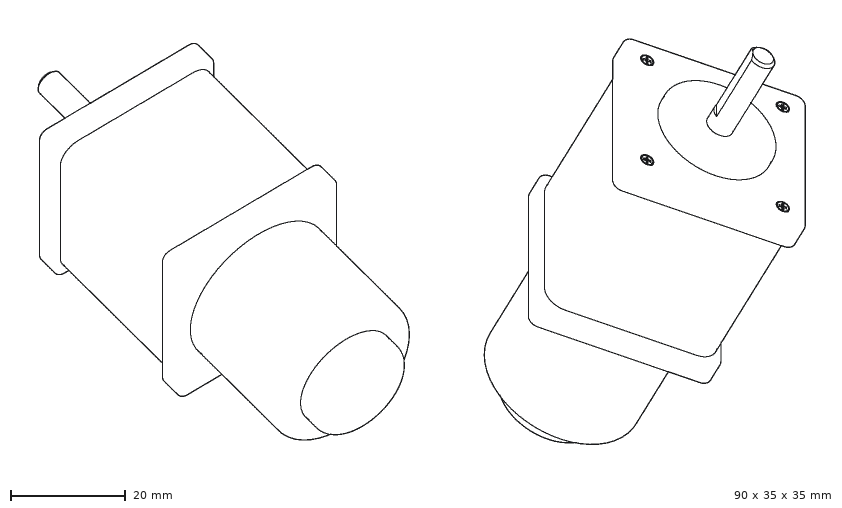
import cadquery as cq

TOTAL_LENGTH = 90.0
SHAFT_LENGTH = 18.0
PILOT_LENGTH = 2.0
FLANGE_THICKNESS = 5.0
BODY_LENGTH = 30.0
CAP_LENGTH = 5.0

FRONT_FLANGE_START = SHAFT_LENGTH + PILOT_LENGTH
BODY_START = FRONT_FLANGE_START + FLANGE_THICKNESS
REAR_FLANGE_START = BODY_START + BODY_LENGTH
MOTOR_START = REAR_FLANGE_START + FLANGE_THICKNESS
MOTOR_END = TOTAL_LENGTH - CAP_LENGTH

FLANGE_SIDE = 35.0
FLANGE_CORNER_RADIUS = 2.0
FLANGE_EDGE_RADIUS = 0.5
BODY_SIDE = 33.0
BODY_CORNER_RADIUS = 4.0

PILOT_DIAMETER = 22.0
PILOT_EDGE_RADIUS = 0.5
MOTOR_DIAMETER = 30.0
MOTOR_END_RADIUS = 2.0
CAP_DIAMETER = 20.0
CAP_END_RADIUS = 2.0

SHAFT_DIAMETER = 5.0
SHAFT_CHAMFER = 0.5
FLAT_LENGTH = 15.0
FLAT_DEPTH = 0.5

SCREW_SPACING = 26.0
SCREW_HOLE_DIAMETER = 2.5
SCREW_HEAD_DIAMETER = 2.2
SCREW_GAP_DEPTH = 0.5
SLOT_LENGTH = 1.4
SLOT_WIDTH = 0.4
SLOT_DEPTH = 0.5


def section_plane(x):
    """Workplane across the motor axis at station x, extruding toward +X."""
    return cq.Workplane("YZ", origin=(x, 0, 0))


def cylinder(start, end, diameter):
    return section_plane(start).circle(diameter / 2).extrude(end - start)


def square_block(start, end, side, corner_radius):
    block = section_plane(start).rect(side, side).extrude(end - start)
    return block.edges("|X").fillet(corner_radius)


def make_flange(start):
    flange = square_block(start, start + FLANGE_THICKNESS, FLANGE_SIDE, FLANGE_CORNER_RADIUS)
    return flange.faces("<X or >X").edges().fillet(FLANGE_EDGE_RADIUS)


def make_shaft():
    shaft = cylinder(0, SHAFT_LENGTH, SHAFT_DIAMETER).faces("<X").chamfer(SHAFT_CHAMFER)
    flat_y = SHAFT_DIAMETER / 2 - FLAT_DEPTH
    flat_cut = cq.Workplane().box(
        FLAT_LENGTH, SHAFT_DIAMETER, SHAFT_DIAMETER, centered=(False, False, True)
    )
    return shaft.cut(flat_cut.translate((0, flat_y, 0)))


def make_screw_recesses():
    screw_square = section_plane(FRONT_FLANGE_START).rect(
        SCREW_SPACING, SCREW_SPACING, forConstruction=True
    )
    screw_points = screw_square.vertices()
    hole_outlines = screw_points.circle(SCREW_HOLE_DIAMETER / 2)
    gaps = hole_outlines.circle(SCREW_HEAD_DIAMETER / 2).extrude(SCREW_GAP_DEPTH)
    slots_along_y = screw_points.rect(SLOT_LENGTH, SLOT_WIDTH).extrude(SLOT_DEPTH)
    slots_along_z = screw_points.rect(SLOT_WIDTH, SLOT_LENGTH).extrude(SLOT_DEPTH)
    return gaps.union(slots_along_y).union(slots_along_z)


pilot = cylinder(SHAFT_LENGTH, FRONT_FLANGE_START, PILOT_DIAMETER)
pilot = pilot.faces("<X").edges().fillet(PILOT_EDGE_RADIUS)
body = square_block(BODY_START, REAR_FLANGE_START, BODY_SIDE, BODY_CORNER_RADIUS)
motor = cylinder(MOTOR_START, MOTOR_END, MOTOR_DIAMETER)
motor = motor.faces(">X").edges().fillet(MOTOR_END_RADIUS)
cap = cylinder(MOTOR_END, TOTAL_LENGTH, CAP_DIAMETER)
cap = cap.faces(">X").edges().fillet(CAP_END_RADIUS)

result = (
    make_shaft()
    .union(pilot)
    .union(make_flange(FRONT_FLANGE_START))
    .union(body)
    .union(make_flange(REAR_FLANGE_START))
    .union(motor)
    .union(cap)
    .cut(make_screw_recesses())
)